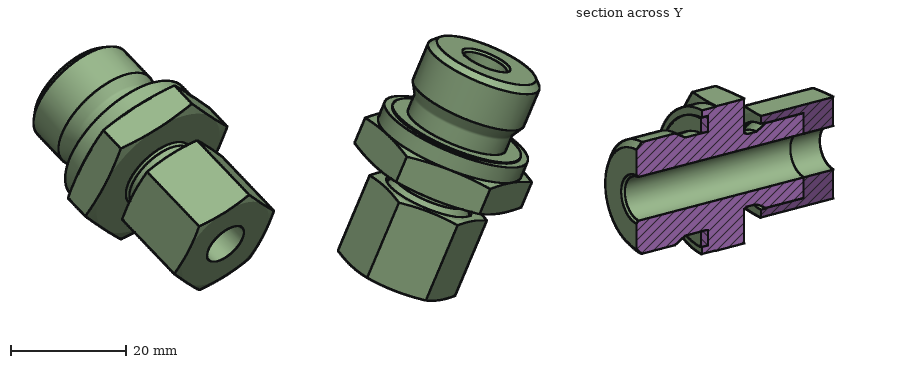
import cadquery as cq
import math

LENGTH = 42.0

THREAD_RADIUS = 10.45
THREAD_CHAMFER = 1.18
THREAD_END = 8.27
UNDERCUT_RADIUS = 9.2
UNDERCUT_FILLET = 1.0
CONE_ANGLE = math.radians(30)

FLANGE_START = 13.95
FLANGE_RADIUS = 13.45
SEAL_RADIUS = 12.0
SEAL_PROTRUSION = 0.25
SEAL_RECESS_DEPTH = 1.25

HEX_START = 16.95
HEX_END = 23.0
BODY_HEX_WIDTH = 27.0
NUT_START = 26.5
NUT_HEX_WIDTH = 19.0
HEX_CHAMFER_ANGLE = math.radians(15)

NECK_RADIUS = 6.8
NECK_FLARE_END = 23.6
NECK_END = 25.55
STEM_RADIUS = 8.0
STEM_END = 35.7

BORE_RADIUS = 4.05
BORE_CHAMFER = 0.45


def cylinder(radius, start, end):
    return cq.Workplane("YZ", origin=(start, 0, 0)).circle(radius).extrude(end - start)


def revolve_about_x(profile):
    """Revolve a closed profile, drawn with X along the axis and Y as the radius."""
    return profile.close().revolve(360, (0, 0, 0), (1, 0, 0))


def chamfered_hexagon(width, start, end):
    """Hexagon along X with flats on +Z and -Z, its corners turned off conically at both ends."""
    corner_radius = width / math.sqrt(3)
    flat_radius = width / 2
    chamfer_length = (corner_radius - flat_radius) * math.tan(HEX_CHAMFER_ANGLE)
    prism = (
        cq.Workplane("YZ", origin=(start, 0, 0))
        .polygon(6, 2 * corner_radius)
        .extrude(end - start)
    )
    envelope = revolve_about_x(
        cq.Workplane("XY")
        .moveTo(start, 0)
        .lineTo(start, flat_radius)
        .lineTo(start + chamfer_length, corner_radius)
        .lineTo(end - chamfer_length, corner_radius)
        .lineTo(end, flat_radius)
        .lineTo(end, 0)
    )
    return prism.intersect(envelope)


def make_port_end():
    """Threaded spigot whose cone runs through a tangent fillet into the undercut."""
    fillet_rise = UNDERCUT_FILLET * (1 - math.cos(CONE_ANGLE))
    fillet_length = UNDERCUT_FILLET * math.sin(CONE_ANGLE)
    cone_end_radius = UNDERCUT_RADIUS + fillet_rise
    cone_end = THREAD_END + (THREAD_RADIUS - cone_end_radius) / math.tan(CONE_ANGLE)
    fillet_end = cone_end + fillet_length
    half_angle = CONE_ANGLE / 2
    fillet_middle = (
        fillet_end - UNDERCUT_FILLET * math.sin(half_angle),
        UNDERCUT_RADIUS + UNDERCUT_FILLET * (1 - math.cos(half_angle)),
    )
    return revolve_about_x(
        cq.Workplane("XY")
        .lineTo(0, THREAD_RADIUS - THREAD_CHAMFER)
        .lineTo(THREAD_CHAMFER, THREAD_RADIUS)
        .lineTo(THREAD_END, THREAD_RADIUS)
        .lineTo(cone_end, cone_end_radius)
        .threePointArc(fillet_middle, (fillet_end, UNDERCUT_RADIUS))
        .lineTo(FLANGE_START, UNDERCUT_RADIUS)
        .lineTo(FLANGE_START, 0)
    )


def make_stem():
    """Neck behind the hexagon, flared at both ends, and the stem that enters the nut."""
    flare_slope = math.tan(CONE_ANGLE)
    hex_side_radius = NECK_RADIUS + (NECK_FLARE_END - HEX_END) * flare_slope
    cone_end = NECK_END + (STEM_RADIUS - NECK_RADIUS) / flare_slope
    return revolve_about_x(
        cq.Workplane("XY")
        .moveTo(HEX_END, 0)
        .lineTo(HEX_END, hex_side_radius)
        .lineTo(NECK_FLARE_END, NECK_RADIUS)
        .lineTo(NECK_END, NECK_RADIUS)
        .lineTo(cone_end, STEM_RADIUS)
        .lineTo(STEM_END, STEM_RADIUS)
        .lineTo(STEM_END, 0)
    )


def make_bore():
    """Through bore with a countersunk mouth at the port end."""
    return revolve_about_x(
        cq.Workplane("XY")
        .lineTo(0, BORE_RADIUS + BORE_CHAMFER)
        .lineTo(BORE_CHAMFER, BORE_RADIUS)
        .lineTo(LENGTH, BORE_RADIUS)
        .lineTo(LENGTH, 0)
    )


def make_seal():
    """Flat ring around the undercut, sunk into the flange and standing slightly proud of it."""
    start = FLANGE_START - SEAL_PROTRUSION
    end = FLANGE_START + SEAL_RECESS_DEPTH
    return cylinder(SEAL_RADIUS, start, end).cut(cylinder(UNDERCUT_RADIUS, start, end))


def make_body(seal):
    flange = cylinder(FLANGE_RADIUS, FLANGE_START, HEX_START)
    hexagon = chamfered_hexagon(BODY_HEX_WIDTH, HEX_START, HEX_END)
    solid = make_port_end().union(flange).union(hexagon).union(make_stem())
    return solid.cut(seal).cut(make_bore())


def make_nut():
    """Union nut with a socket for the stem and a tube hole in its end wall."""
    hexagon = chamfered_hexagon(NUT_HEX_WIDTH, NUT_START, LENGTH)
    socket = cylinder(STEM_RADIUS, NUT_START, STEM_END)
    return hexagon.cut(socket).cut(make_bore())


seal = make_seal()
body = make_body(seal)
nut = make_nut()

result = cq.Compound.makeCompound([body.val(), seal.val(), nut.val()])